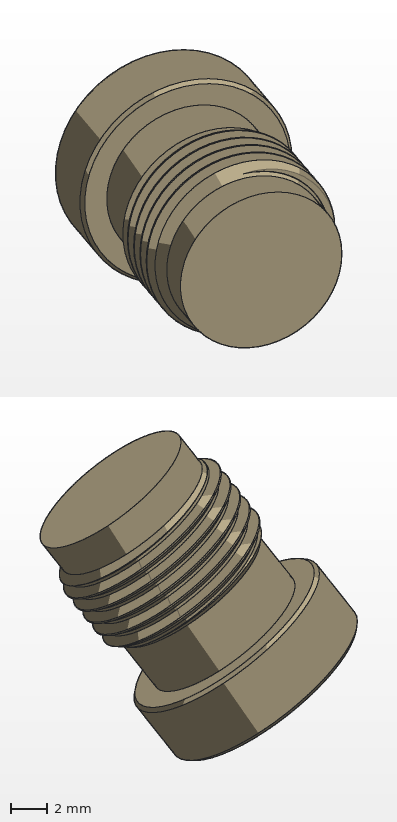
import cadquery as cq

total_length = 14.68
head_diameter = 12.7
head_length = 3.98
head_chamfer = 0.2
shank_radius = 4.83

collar_start = 7.25
collar_end = 12.68
major_radius = 5.53
root_radius = 5.0
five_pitches = 4.54
pitch = five_pitches / 5
crest_width = 0.1
root_width = 0.18
groove_turns = 7
groove_start = 6.7
cutter_overlap = 0.07


def make_head():
    head = cq.Workplane("YZ").circle(head_diameter / 2).extrude(head_length)
    return head.edges("%CIRCLE").chamfer(head_chamfer)


def make_shank():
    shank = cq.Workplane("YZ").workplane(offset=head_length / 2)
    return shank.circle(shank_radius).extrude(total_length - head_length / 2)


def make_collar():
    """Collar blank with 45 degree lead-ins rising from the shank to the thread crest."""
    lead_in = major_radius - shank_radius
    return (
        cq.Workplane("XY")
        .moveTo(collar_start, 0)
        .lineTo(collar_start, shank_radius)
        .lineTo(collar_start + lead_in, major_radius)
        .lineTo(collar_end - lead_in, major_radius)
        .lineTo(collar_end, shank_radius)
        .lineTo(collar_end, 0)
        .close()
        .revolve(360, (0, 0, 0), (1, 0, 0))
    )


def make_groove_turn():
    """One turn of the helical V groove with a flat root, starting at groove_start."""
    depth = major_radius - root_radius
    half_root = root_width / 2
    half_mouth = (pitch - crest_width) / 2
    flank_slope = (half_mouth - half_root) / depth
    outer_radius = major_radius + cutter_overlap
    half_outer = half_mouth + flank_slope * cutter_overlap

    helix = cq.Wire.makeHelix(pitch, pitch, root_radius)
    section = cq.Workplane("XZ").polyline([
        (root_radius, -half_root),
        (outer_radius, -half_outer),
        (outer_radius, half_outer),
        (root_radius, half_root),
    ]).close()
    groove = section.sweep(cq.Workplane(obj=helix), isFrenet=True)
    return groove.rotate((0, 0, 0), (0, 1, 0), 90).translate((groove_start, 0, 0))


def make_threaded_collar():
    """Collar with the groove cut turn by turn, running out past both ends."""
    collar = make_collar()
    groove_turn = make_groove_turn()
    for turn in range(groove_turns):
        collar = collar.cut(groove_turn.translate((turn * pitch, 0, 0)))
    return collar


result = make_head().union(make_shank()).union(make_threaded_collar())